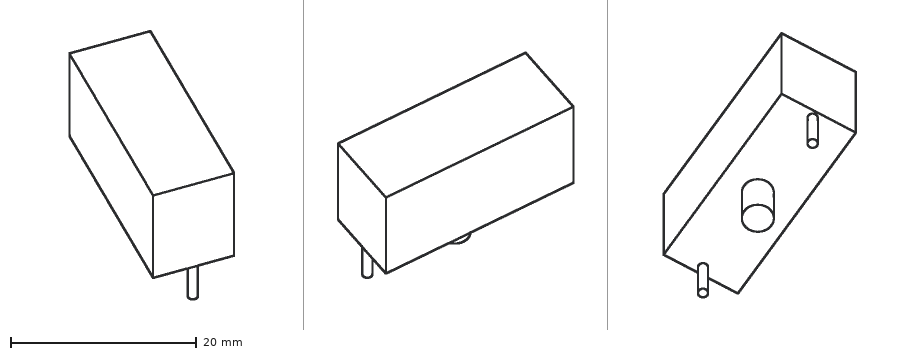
import cadquery as cq

housing_length = 24.2
housing_width = 9.45
housing_height = 12.2

lead_length = 5.13
pin_diameter = 1.11
pin_spacing = 22.5
post_diameter = 3.45
lead_y = 0.25


def make_housing():
    """Plain rectangular block standing on Z = 0."""
    return cq.Workplane("XY").rect(housing_length, housing_width).extrude(housing_height)


def make_lead(x, diameter):
    """Round lead hanging from the underside of the housing."""
    return cq.Workplane("XY").center(x, lead_y).circle(diameter / 2).extrude(-lead_length)


housing = make_housing()
post = make_lead(0, post_diameter)
pins = [make_lead(side * pin_spacing / 2, pin_diameter) for side in (-1, 1)]

result = cq.Compound.makeCompound([
    housing.val(),
    post.val(),
    *[pin.val() for pin in pins],
])